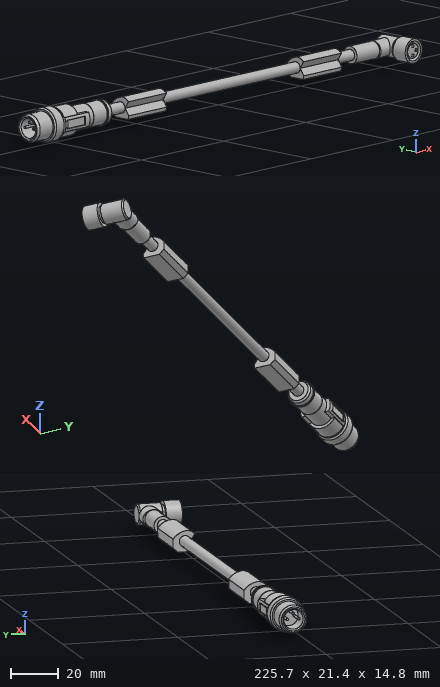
import cadquery as cq
import math

TOTAL_LENGTH = 225.66
TOTAL_DEPTH = 21.4

SHELL_RADIUS = 6.0
SHELL_CHAMFER_LENGTH = 1.4
SHELL_CHAMFER_DEPTH = 0.6
SHELL_BORE_RADIUS = 4.2
SHELL_BORE_CHAMFER = 0.6
SHELL_BORE_DEPTH = 8.0
RING_START = 9.2
RING_END = 15.2
RING_RADIUS = 7.4
RING_CHAMFER = 0.7
BODY_RADIUS = 5.35
SLEEVE_START = 34.8
SLEEVE_RADIUS = 5.25
GRIP_START = 16.0
GRIP_END = 24.3
GRIP_RADIUS = 6.7
COLLAR_START = 43.0
COLLAR_WIDTH = 0.3
COLLAR_RADIUS = 5.8
BODY_END = 46.6
BODY_END_CHAMFER = 0.8
ARM_END = 30.6
ARM_RADIUS = 7.0
ARM_HALF_WIDTH = 3.1
ARM_POCKET_START = 17.2
ARM_POCKET_END = 28.0
ARM_POCKET_HALF_WIDTH = 1.8
ARM_POCKET_DEPTH = 0.6
PIN_RADIUS = 0.5
PIN_CIRCLE_RADIUS = 2.5
PIN_RECESS = 1.0
PIN_ANGLES = (0, 90, 180)

CABLE_RADIUS = 2.45
CLIP_LENGTH = 23.2
CLIP_STARTS = (56.8, 163.4)

BOOT_START = 196.6
BOOT_END = 210.4
BOOT_RADIUS = 3.8
ELBOW_HALF_WIDTH = 4.6
ELBOW_HALF_HEIGHT = 3.9
HEAD_RADIUS = 4.5
HEAD_BACK = 4.6
HEAD_CHAMFER = 0.6
HEAD_FRONT = -5.7
NUT_RADIUS = 5.25
NUT_BACK = -6.9
NUT_FRONT = RING_RADIUS - TOTAL_DEPTH
NECK_RADIUS = 3.7
NUT_BORE_RADIUS = 4.2
NUT_BORE_DEPTH = 4.0
INSERT_RADIUS = 3.2
INSERT_RECESS = 0.5
CONTACT_RADIUS = 0.6
CONTACT_CIRCLE_RADIUS = 2.0
CONTACT_DEPTH = 3.0
CONTACT_ANGLES = (0, 90, 270)
HEAD_X = TOTAL_LENGTH - NUT_RADIUS


def rod_x(start, end, radius, y=0, z=0):
    """Round bar along X."""
    return cq.Workplane("YZ", origin=(start, y, z)).circle(radius).extrude(end - start)


def rod_y(back, front, radius, x=HEAD_X, z=0):
    """Round bar along Y, drawn from its back end toward -Y."""
    return cq.Workplane("XZ", origin=(x, back, z)).circle(radius).extrude(back - front)


def box(x_range, y_range, z_range):
    """Block between two limits on each axis."""
    sizes = [high - low for low, high in (x_range, y_range, z_range)]
    corner = (x_range[0], y_range[0], z_range[0])
    return cq.Workplane("XY").box(*sizes, centered=False).translate(corner)


def plug_arms():
    """Two opposite latch arms on the +Y and -Y sides, rounded on the outside."""
    return rod_x(GRIP_START, ARM_END, ARM_RADIUS).intersect(
        box((GRIP_START, ARM_END), (-ARM_RADIUS, ARM_RADIUS), (-ARM_HALF_WIDTH, ARM_HALF_WIDTH))
    )


def cut_arm_pockets(plug):
    """Sinks a flat-bottomed rectangular pocket into the outside of each arm."""
    x_range = (ARM_POCKET_START, ARM_POCKET_END)
    z_range = (-ARM_POCKET_HALF_WIDTH, ARM_POCKET_HALF_WIDTH)
    floor = ARM_RADIUS - ARM_POCKET_DEPTH
    for y_range in ((floor, ARM_RADIUS), (-ARM_RADIUS, -floor)):
        plug = plug.cut(box(x_range, y_range, z_range))
    return plug


def shell():
    """Threaded shell with a tapered nose and a bore with a bevelled mouth."""
    body = rod_x(0, RING_START, SHELL_RADIUS)
    body = body.faces("<X").edges().chamfer(SHELL_CHAMFER_LENGTH, SHELL_CHAMFER_DEPTH)
    bore = rod_x(0, SHELL_BORE_DEPTH, SHELL_BORE_RADIUS)
    mouth = cq.Solid.makeCone(
        SHELL_BORE_RADIUS + SHELL_BORE_CHAMFER,
        SHELL_BORE_RADIUS,
        SHELL_BORE_CHAMFER,
        dir=cq.Vector(1, 0, 0),
    )
    return body.cut(bore).cut(cq.Workplane(obj=mouth))


def straight_plug():
    """Shell with pins, coupling ring, grip with latch arms, and rear sleeve."""
    plug = shell()
    plug = plug.union(rod_x(RING_START, RING_END, RING_RADIUS).edges().chamfer(RING_CHAMFER))
    plug = plug.union(rod_x(RING_END, SLEEVE_START, BODY_RADIUS))
    sleeve = rod_x(SLEEVE_START, BODY_END, SLEEVE_RADIUS)
    plug = plug.union(sleeve.faces(">X").chamfer(BODY_END_CHAMFER))
    plug = plug.union(rod_x(GRIP_START, GRIP_END, GRIP_RADIUS))
    plug = plug.union(rod_x(COLLAR_START, COLLAR_START + COLLAR_WIDTH, COLLAR_RADIUS))
    plug = cut_arm_pockets(plug.union(plug_arms()))
    for angle in PIN_ANGLES:
        y = PIN_CIRCLE_RADIUS * math.cos(math.radians(angle))
        z = PIN_CIRCLE_RADIUS * math.sin(math.radians(angle))
        plug = plug.union(rod_x(PIN_RECESS, RING_START, PIN_RADIUS, y, z))
    return plug


def marker_clip(start):
    """Snap-on clip: domed top, flat base and a funnel mouth opening toward -Y."""
    upper_lip = (-4.4, 3.06)
    front_dome = (-2.8, 4.15)
    crown = (-0.8, 4.6)
    back_dome = (1.9, 3.85)
    shoulder = (4.1, 2.4)
    back_top = (5.2, 1.2)
    back_bottom = (5.2, -2.7)
    base_back = (3.0, -4.6)
    base_front = (-4.2, -4.6)
    lower_lip = (-4.6, -2.9)
    throat_bottom = (-2.5, 0)
    throat_top = (-2.8, 0.5)
    return (
        cq.Workplane("YZ", origin=(start, 0, 0))
        .moveTo(*upper_lip)
        .threePointArc(front_dome, crown)
        .threePointArc(back_dome, shoulder)
        .polyline(
            [back_top, back_bottom, base_back, base_front, lower_lip, throat_bottom, throat_top],
            includeCurrent=True,
        )
        .close()
        .extrude(CLIP_LENGTH)
    )


def angled_socket():
    """Boot on the cable, oval elbow, cross head and coupling nut facing -Y."""
    socket = rod_x(BOOT_START, BOOT_END, BOOT_RADIUS)
    elbow = cq.Workplane("YZ", origin=(BOOT_END, 0, 0)).ellipse(ELBOW_HALF_WIDTH, ELBOW_HALF_HEIGHT)
    socket = socket.union(elbow.extrude(HEAD_X - BOOT_END))
    head = rod_y(HEAD_BACK, HEAD_FRONT, HEAD_RADIUS)
    socket = socket.union(head.faces(">Y").chamfer(HEAD_CHAMFER))
    socket = socket.union(rod_y(HEAD_FRONT, NUT_BACK, NECK_RADIUS))
    socket = socket.union(rod_y(NUT_BACK, NUT_FRONT, NUT_RADIUS))
    socket = socket.cut(rod_y(NUT_FRONT + NUT_BORE_DEPTH, NUT_FRONT, NUT_BORE_RADIUS))
    insert_front = NUT_FRONT + INSERT_RECESS
    socket = socket.union(rod_y(NUT_BACK, insert_front, INSERT_RADIUS))
    for angle in CONTACT_ANGLES:
        x = HEAD_X + CONTACT_CIRCLE_RADIUS * math.cos(math.radians(angle))
        z = CONTACT_CIRCLE_RADIUS * math.sin(math.radians(angle))
        socket = socket.cut(rod_y(insert_front + CONTACT_DEPTH, insert_front, CONTACT_RADIUS, x, z))
    return socket


result = straight_plug().union(rod_x(BODY_END, BOOT_START, CABLE_RADIUS)).union(angled_socket())
for clip_start in CLIP_STARTS:
    result = result.union(marker_clip(clip_start))